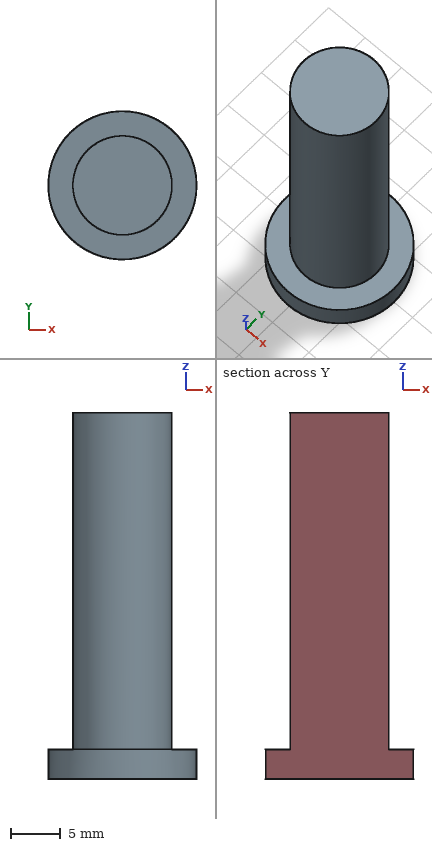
import cadquery as cq

head_diameter = 15.0
head_height = 3.0
shank_diameter = 10.0
total_height = 37.0
shank_length = total_height - head_height


def make_head():
    """Flat round head with its underside at Z = 0."""
    return cq.Workplane("XY").circle(head_diameter / 2).extrude(head_height)


def add_shank(head):
    """Plain cylindrical shank rising from the centre of the head."""
    return head.faces(">Z").workplane().circle(shank_diameter / 2).extrude(shank_length)


result = add_shank(make_head())